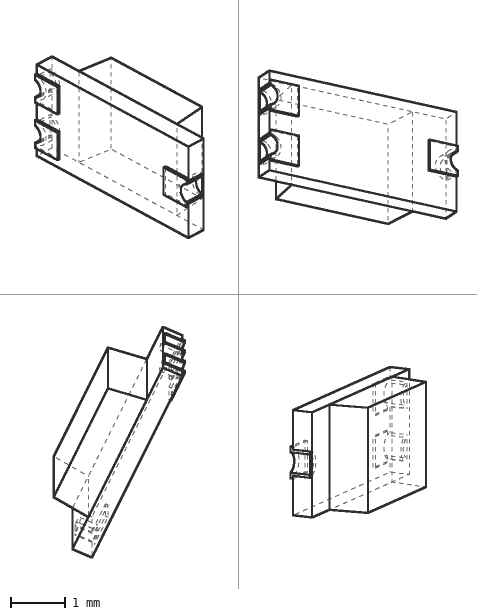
import cadquery as cq
import math


board_length = 4.0
board_width = 2.0
board_thickness = 0.4

overall_height = 1.2
pad_thickness = 0.05
pad_size = 0.6
pad_pitch = board_width / 2
plug_radius = 0.25
plug_depth = board_thickness - pad_thickness
groove_radius = 0.2
groove_offset = 0.05

lens_height = overall_height - board_thickness - pad_thickness
lens_top_length = 2.4
lens_taper_angle = 7.0
lens_base_length = lens_top_length + 2 * lens_height * math.tan(math.radians(lens_taper_angle))

terminal_places = [
    (-1, -pad_pitch / 2),
    (-1, pad_pitch / 2),
    (1, 0.0),
]


def cylinder_along_y(radius, x, z, y_start, length):
    return cq.Workplane(
        cq.Solid.makeCylinder(radius, length, cq.Vector(x, y_start, z), cq.Vector(0, 1, 0))
    )


def box_between_y(length, width, x, z, y_start, thickness):
    return (
        cq.Workplane("XY")
        .box(length, thickness, width)
        .translate((x, y_start + thickness / 2, z))
    )


def make_board_blank():
    return box_between_y(board_length, board_width, 0, 0, 0, board_thickness)


def make_plug_cylinder(end, z):
    return cylinder_along_y(plug_radius, end * board_length / 2, z, 0, plug_depth)


def make_board():
    board = make_board_blank()
    for end, z in terminal_places:
        board = board.cut(make_plug_cylinder(end, z))
    return board


def make_terminal(end, z):
    edge_x = end * board_length / 2
    pad_x = edge_x - end * pad_size / 2
    pad = box_between_y(pad_size, pad_size, pad_x, z, -pad_thickness, pad_thickness)
    plug = make_plug_cylinder(end, z).intersect(make_board_blank())
    groove_x = edge_x + end * groove_offset
    groove = cylinder_along_y(groove_radius, groove_x, z, -pad_thickness, plug_depth + pad_thickness)
    return pad.union(plug).cut(groove)


def make_lens():
    base_y = board_thickness
    top_y = board_thickness + lens_height
    return (
        cq.Workplane("XY")
        .moveTo(-lens_base_length / 2, base_y)
        .lineTo(lens_base_length / 2, base_y)
        .lineTo(lens_top_length / 2, top_y)
        .lineTo(-lens_top_length / 2, top_y)
        .close()
        .extrude(board_width / 2, both=True)
    )


board = make_board()
lens = make_lens()
terminals = [make_terminal(end, z) for end, z in terminal_places]

result = cq.Compound.makeCompound(
    [board.val(), lens.val(), *[terminal.val() for terminal in terminals]]
)